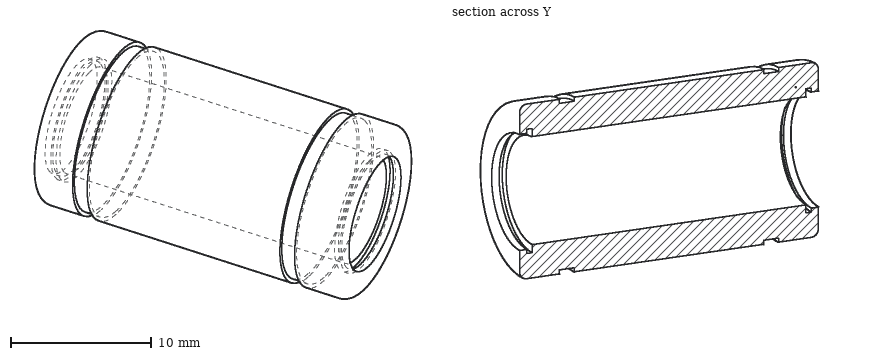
import cadquery as cq

length = 24.0
outer_diameter = 13.0
bore_diameter = 8.0
edge_radius = 0.6

groove_diameter = 12.4
groove_width = 1.15
groove_offset = 3.25

lip_diameter = 8.6
lip_depth = 0.6
recess_diameter = 9.2
recess_width = 0.4


def cylinder(start, width, diameter):
    """Solid cylinder along X, beginning at x = start."""
    return cq.Workplane("YZ", origin=(start, 0, 0)).circle(diameter / 2).extrude(width)


def ring(start, width, outer, inner):
    """Ring along X, beginning at x = start."""
    return cylinder(start, width, outer).cut(cylinder(start, width, inner))


half_length = length / 2

result = cylinder(-half_length, length, outer_diameter).edges().fillet(edge_radius)
result = result.cut(cylinder(-half_length, length, bore_diameter))

for start in (-half_length + groove_offset, half_length - groove_offset - groove_width):
    result = result.cut(ring(start, groove_width, outer_diameter, groove_diameter))

for start in (-half_length, half_length - lip_depth):
    result = result.cut(cylinder(start, lip_depth, lip_diameter))

for start in (-half_length + lip_depth, half_length - lip_depth - recess_width):
    result = result.cut(cylinder(start, recess_width, recess_diameter))